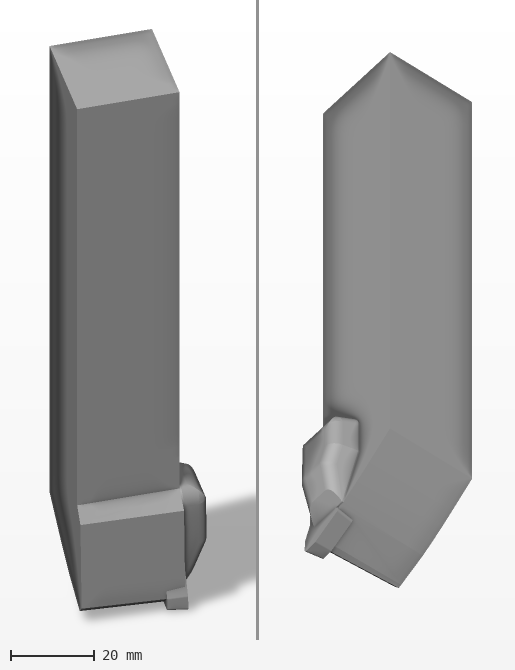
import cadquery as cq
import math

LENGTH = 152.4
SHANK_SIDE = 25.3
SHOULDER_Z = 32.3

HEEL = (0, 17.2)
HEEL_BEND_START = (7.6, 12.2)
HEEL_BEND_END = (18.6, 5.8)
NOSE_LEFT = (26.8, 1.7)
NOSE_LOW = (28.8, 1.4)
NOSE_RIGHT = (30.5, 3.4)
FLANK_TOP = (29.4, 28.7)
FLANK_RELIEF = 1.0
NOSE_RELIEF = 0.8

INSERT_TOP_Y = 25.8
INSERT_THICKNESS = 5.0
INSERT_RELIEF_ANGLE = 5.0
INSERT_CORNER_RADIUS = 0.8
INSERT_RIGHT_X = 31.7
SHORT_EDGE_END = (4.1, 0.3)
LONG_EDGE_END = (13.3, 4.5)

CROWN_Y = 32.3
CLAMP_DRAFT = 15.0
CLAMP_LEFT_X = 11.5
CLAMP_RIGHT_X = 27.5
CLAMP_TOP_Z = 32.2
CLAMP_WAIST_Z = 18.9
CLAMP_TIP_LEFT_X = 17.5
CLAMP_TIP_RIGHT_X = 28.2
CLAMP_TIP_Z = 6.0
SLOPE_TOP_Z = 15.0
SLOPE_BEND = (29.4, 9.0)
CLAMP_CORNER_RADIUS = 3.8
CLAMP_BACK_RADIUS = 6.1
CLAMP_CROWN_RADIUS = 3.5
RIM_MARGIN = 0.2


def xz_plane(y):
    return cq.Workplane("XZ", origin=(0, y, 0))


def make_shank():
    base = cq.Workplane("XY", origin=(0, 0, SHOULDER_Z))
    return base.rect(SHANK_SIDE, SHANK_SIDE, centered=False).extrude(LENGTH - SHOULDER_Z)


def add_head_outline(plane, flank_step, nose_step):
    """Draw the head outline with its flank moved inward and its nose moved upward."""
    return (
        plane.moveTo(0, SHOULDER_Z)
        .lineTo(*HEEL)
        .lineTo(*HEEL_BEND_START)
        .tangentArcPoint(HEEL_BEND_END, relative=False)
        .lineTo(NOSE_LEFT[0], NOSE_LEFT[1] + nose_step)
        .lineTo(NOSE_LOW[0] - flank_step, NOSE_LOW[1] + nose_step)
        .lineTo(NOSE_RIGHT[0] - flank_step, NOSE_RIGHT[1] + nose_step)
        .lineTo(FLANK_TOP[0] - flank_step, FLANK_TOP[1])
        .lineTo(SHANK_SIDE, SHOULDER_Z)
        .close()
    )


def make_head():
    wide_outline = add_head_outline(xz_plane(SHANK_SIDE), 0, 0)
    relieved_plane = wide_outline.workplane(offset=SHANK_SIDE)
    return add_head_outline(relieved_plane, FLANK_RELIEF, NOSE_RELIEF).loft(ruled=True)


def make_drafted_clamp():
    """Block that narrows toward its crown, with its two upper corners rounded."""
    outline = [
        (CLAMP_LEFT_X, CLAMP_TOP_Z),
        (CLAMP_LEFT_X, CLAMP_WAIST_Z),
        (CLAMP_TIP_LEFT_X, CLAMP_TIP_Z),
        (CLAMP_TIP_RIGHT_X, CLAMP_TIP_Z),
        (CLAMP_RIGHT_X, CLAMP_TOP_Z),
    ]
    block = xz_plane(INSERT_TOP_Y).polyline(outline).close()
    block = block.extrude(INSERT_TOP_Y - CROWN_Y, taper=CLAMP_DRAFT)
    upper_corners = block.faces(">Z").edges("not |X")
    return upper_corners.fillet(CLAMP_CORNER_RADIUS)


def make_slope_cutter():
    outline = [(INSERT_TOP_Y, CLAMP_TIP_Z), SLOPE_BEND, (CROWN_Y, SLOPE_TOP_Z), (CROWN_Y, CLAMP_TIP_Z)]
    return cq.Workplane("YZ").polyline(outline).close().extrude(CLAMP_TIP_RIGHT_X)


def make_back_cutter():
    """Waste outside the large round between the upper end face and the crown."""
    draft = math.radians(CLAMP_DRAFT)
    sharp_z = CLAMP_TOP_Z - (CROWN_Y - INSERT_TOP_Y) * math.tan(draft)
    reach = CLAMP_BACK_RADIUS * math.tan((math.pi / 2 - draft) / 2)
    start = (CROWN_Y - reach * math.cos(draft), sharp_z + reach * math.sin(draft))
    return (
        cq.Workplane("YZ")
        .moveTo(*start)
        .lineTo(CROWN_Y, CLAMP_TOP_Z)
        .lineTo(CROWN_Y, sharp_z - reach)
        .radiusArc(start, -CLAMP_BACK_RADIUS)
        .close()
        .extrude(CLAMP_TIP_RIGHT_X)
    )


def make_clamp():
    crown = make_drafted_clamp().cut(make_slope_cutter())
    rim = cq.selectors.BoxSelector(
        (0, SLOPE_BEND[0] + RIM_MARGIN, CLAMP_TIP_Z),
        (CLAMP_TIP_RIGHT_X, CROWN_Y + RIM_MARGIN, CLAMP_TOP_Z),
    )
    crown = crown.edges(rim).fillet(CLAMP_CROWN_RADIUS).cut(make_back_cutter())
    pad_height = INSERT_TOP_Y - SHANK_SIDE
    pad = crown.faces("<Y").wires().toPending().extrude(pad_height)
    return crown.union(pad)


def make_insert():
    edge_lean = math.atan2(SHORT_EDGE_END[1], SHORT_EDGE_END[0])
    half_corner = math.pi / 4 - edge_lean
    overshoot = INSERT_CORNER_RADIUS * (math.sin(math.pi / 4) / math.sin(half_corner) - 1)
    corner_x = INSERT_RIGHT_X + overshoot
    corner_z = -overshoot

    def on_lower_side(end):
        return (corner_x - end[0], corner_z + end[1])

    def on_right_side(end):
        return (corner_x - end[1], corner_z + end[0])

    outline = [
        (corner_x, corner_z),
        on_lower_side(SHORT_EDGE_END),
        on_lower_side(LONG_EDGE_END),
        on_right_side(LONG_EDGE_END),
        on_right_side(SHORT_EDGE_END),
    ]
    body = xz_plane(INSERT_TOP_Y).polyline(outline).close()
    body = body.extrude(INSERT_THICKNESS, taper=INSERT_RELIEF_ANGLE)
    return body.edges("not #Y").fillet(INSERT_CORNER_RADIUS)


insert = make_insert()
holder = make_shank().union(make_head()).union(make_clamp()).cut(insert)
result = cq.Compound.makeCompound([holder.solids().val(), insert.solids().val()])